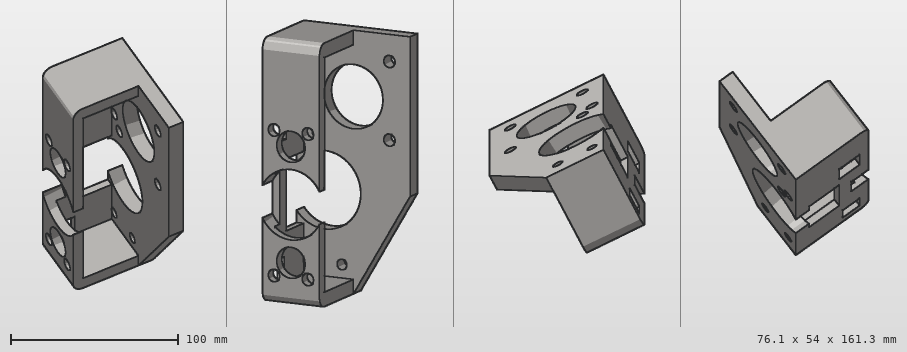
import cadquery as cq

height = 161.3
plate_width = 76.1
depth = 54.0
box_width = 38.2

side_wall = 4.8
front_wall = 6.6
back_wall = 9.8
end_wall = 8.9

edge_radius = 6.6
taper_height = 63.5

box_center_x = box_width / 2
opening_z = 61.6
front_opening_diameter = 43.0
front_opening_depth = 12.9
back_opening_diameter = 47.9

port_diameter = 19.0
port_offset_z = 35.5
screw_diameter = 7.5
back_screw_diameter = 6.5
screw_spacing_x = 22.7
screw_offset_z = 44.5

motor_x = box_width
motor_z = 120.6
motor_bore_diameter = 39.4
motor_screw_diameter = 7.4
motor_screw_spacing = 48.0

upper_window_bottom = 95.8
upper_window_top = 117.3
upper_window_end_y = 21.8
lower_window_bottom = end_wall
lower_window_top = 24.2
lower_window_end_y = 19.2
slot_height = 44.0

back_y = depth - back_wall


def block(x_range, y_range, z_range):
    """Box between the given coordinate limits."""
    lows, highs = zip(x_range, y_range, z_range)
    sizes = [high - low for low, high in zip(lows, highs)]
    return cq.Workplane("XY").box(*sizes, centered=False).translate(lows)


def hole(diameter, x, z, start_y, length):
    """Cylinder running in +Y from start_y."""
    axis = cq.Vector(0, 1, 0)
    return cq.Workplane(cq.Solid.makeCylinder(diameter / 2, length, cq.Vector(x, start_y, z), axis))


def front_hole(diameter, x, z):
    return hole(diameter, x, z, 0, front_wall)


def back_hole(diameter, x, z):
    return hole(diameter, x, z, back_y, back_wall)


body = block((0, box_width), (0, depth), (0, height)).edges("|X and <Y").fillet(edge_radius)
body = body.cut(block((side_wall, box_width), (front_wall, back_y), (end_wall, height - end_wall)))

back_plate = (
    cq.Workplane("XZ", origin=(0, depth, 0))
    .polyline([(0, 0), (box_width, 0), (plate_width, taper_height), (plate_width, height), (0, height)])
    .close()
    .extrude(back_wall)
)
body = body.union(back_plate)

body = body.cut(hole(front_opening_diameter, box_center_x, opening_z, 0, front_opening_depth))
body = body.cut(back_hole(back_opening_diameter, box_center_x, opening_z))

for direction in (-1, 1):
    body = body.cut(front_hole(port_diameter, box_center_x, opening_z + direction * port_offset_z))
    screw_z = opening_z + direction * screw_offset_z
    for side in (-1, 1):
        screw_x = box_center_x + side * screw_spacing_x / 2
        body = body.cut(front_hole(screw_diameter, screw_x, screw_z))
        is_upper_left = side < 0 < direction
        back_diameter = screw_diameter if is_upper_left else back_screw_diameter
        body = body.cut(back_hole(back_diameter, screw_x, screw_z))

body = body.cut(back_hole(motor_bore_diameter, motor_x, motor_z))
for side in (-1, 1):
    for direction in (-1, 1):
        screw_x = motor_x + side * motor_screw_spacing / 2
        screw_z = motor_z + direction * motor_screw_spacing / 2
        body = body.cut(back_hole(motor_screw_diameter, screw_x, screw_z))

side_openings = (
    ((front_wall, upper_window_end_y), (upper_window_bottom, upper_window_top)),
    ((front_wall, lower_window_end_y), (lower_window_bottom, lower_window_top)),
    ((upper_window_end_y, back_y), (opening_z - slot_height / 2, opening_z + slot_height / 2)),
)
for y_range, z_range in side_openings:
    body = body.cut(block((0, side_wall), y_range, z_range))

result = body